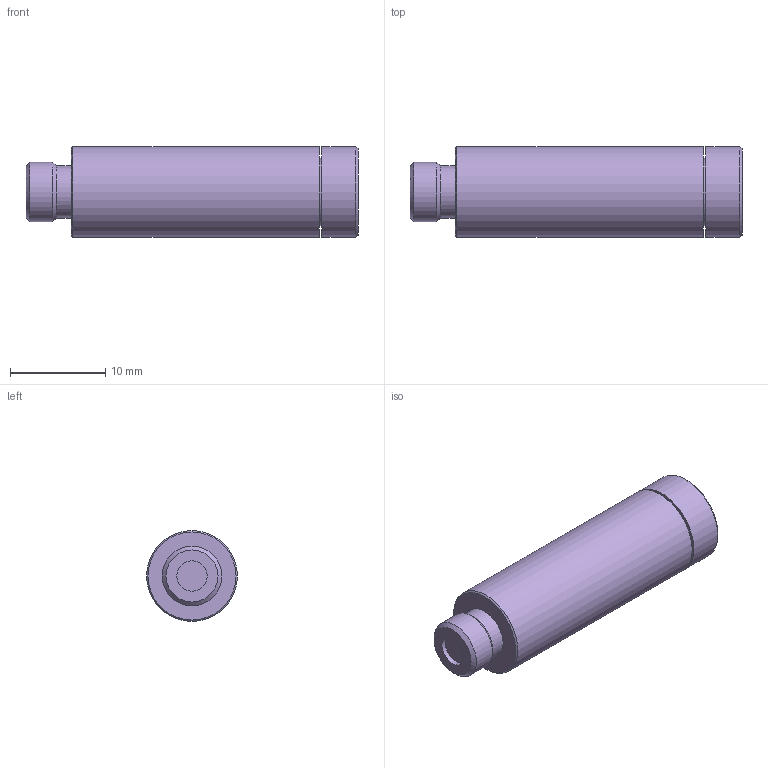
import cadquery as cq

total_length = 34.82
body_start = 4.76
stud_head_length = 3.19
groove_start = 30.77
groove_width = 0.254

body_diameter = 9.53
stud_diameter = 6.25
neck_diameter = 5.46
groove_diameter = 7.11
recess_diameter = 3.19

stud_chamfer = (stud_diameter - neck_diameter) / 2
body_front_chamfer = 0.15
body_rear_chamfer = 0.254
recess_depth = 0.508


def cylinder(start, length, diameter):
    """Solid cylinder on the X axis, beginning at X = start."""
    return cq.Workplane("YZ", origin=(start, 0, 0)).circle(diameter / 2).extrude(length)


def make_stud():
    """Stud head chamfered at both ends, joined to the body by a narrower neck."""
    head = cylinder(0, stud_head_length, stud_diameter)
    head = head.faces("<X or >X").chamfer(stud_chamfer)
    neck = cylinder(0, body_start, neck_diameter)
    return head.union(neck)


def make_body():
    """Main barrel with a small front chamfer and a larger rear chamfer."""
    body = cylinder(body_start, total_length - body_start, body_diameter)
    body = body.faces("<X").chamfer(body_front_chamfer)
    return body.faces(">X").chamfer(body_rear_chamfer)


def make_groove():
    """Ring of material removed to leave a thin groove around the barrel."""
    outer = cylinder(groove_start, groove_width, body_diameter)
    core = cylinder(groove_start, groove_width, groove_diameter)
    return outer.cut(core)


def make_recess():
    """Shallow round recess in the tip of the stud."""
    return cylinder(0, recess_depth, recess_diameter)


result = make_body().union(make_stud()).cut(make_groove()).cut(make_recess())